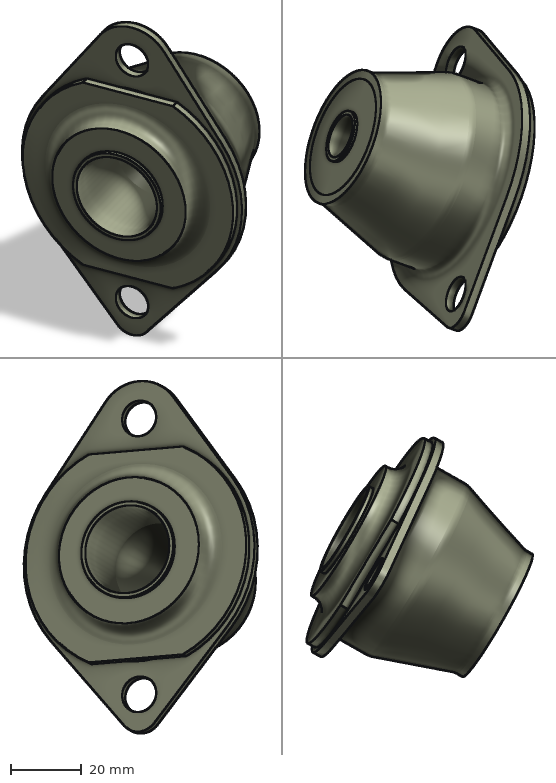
import cadquery as cq
import math


rubber_front_y = 1.3
lip_front_y = 6.9
flange_back_y = 12.1
shoulder_y = 23.0
neck_y = 48.1
cup_back_y = 50.0
sleeve_back_y = 50.8

sheet = 2.6
wall_radius = 55.8 / 2
neck_radius = 40.0 / 2
shoulder_bend = 6.6
neck_bend = 4.1
flange_bend = 2.5
flange_front_y = flange_back_y - sheet
flange_height = 101.7
flange_radius = 69.8 / 2
top_ear_radius = 12.5
bottom_ear_radius = 6.0
bolt_spacing = 80.1
bolt_hole = 10.3

lip_diameter = 66.7
lip_across_flats = 60.3
nose_radius = 42.3 / 2
nose_cove = 5.0

sleeve_front_diameter = 27.8
sleeve_back_diameter = 15.1
bore_front_diameter = 25.4
bore_back_diameter = 12.7
straight_front = 24.4
straight_back = 6.1


def on_y(y):
    """Workplane facing -Y at the given height, with local x = X and local y = Z."""
    return cq.Workplane("XZ", origin=(0, y, 0))


def revolve_about_y(profile):
    return profile.revolve(360, (0, 0, 0), (0, 1, 0))


def cylinder(diameter, front_y, back_y):
    return on_y(front_y).circle(diameter / 2).extrude(front_y - back_y)


def cup_form(inset):
    """Solid bounded by the cup's outside surface, moved inwards by inset."""
    shoulder_x = wall_radius - shoulder_bend
    neck_x = neck_radius + neck_bend
    across = neck_x - shoulder_x
    along = neck_y - shoulder_y
    taper = math.asin((shoulder_bend + neck_bend) / math.hypot(across, along)) - math.atan2(across, along)
    inner_shoulder = shoulder_bend - inset
    inner_neck = neck_bend + inset
    flange_x = wall_radius + flange_bend
    flange_bend_y = flange_back_y + flange_bend
    start_y = flange_back_y - inset
    diagonal = (flange_bend + inset) * math.sqrt(0.5)
    middle = taper / 2
    profile = (
        cq.Workplane("XY")
        .moveTo(0, start_y)
        .lineTo(flange_x, start_y)
        .threePointArc(
            (flange_x - diagonal, flange_bend_y - diagonal),
            (wall_radius - inset, flange_bend_y),
        )
        .lineTo(wall_radius - inset, shoulder_y)
        .threePointArc(
            (shoulder_x + inner_shoulder * math.cos(middle), shoulder_y + inner_shoulder * math.sin(middle)),
            (shoulder_x + inner_shoulder * math.cos(taper), shoulder_y + inner_shoulder * math.sin(taper)),
        )
        .lineTo(neck_x - inner_neck * math.cos(taper), neck_y - inner_neck * math.sin(taper))
        .threePointArc(
            (neck_x - inner_neck * math.cos(middle), neck_y - inner_neck * math.sin(middle)),
            (neck_radius - inset, neck_y),
        )
        .lineTo(neck_radius - inset, cup_back_y)
        .lineTo(0, cup_back_y)
        .close()
    )
    return revolve_about_y(profile)


def ear_tangents(ear_radius):
    """The +X tangent points on the flange round and on an upward-pointing ear."""
    centre = flange_height / 2 - ear_radius
    sine = (flange_radius - ear_radius) / centre
    cosine = math.sqrt(1 - sine ** 2)
    on_flange = (flange_radius * cosine, flange_radius * sine)
    on_ear = (ear_radius * cosine, centre + ear_radius * sine)
    return on_flange, on_ear


def make_flange():
    (top_x, top_z), (top_ear_x, top_ear_z) = ear_tangents(top_ear_radius)
    (low_x, low_z), (low_ear_x, low_ear_z) = ear_tangents(bottom_ear_radius)
    tip = flange_height / 2
    return (
        on_y(flange_front_y)
        .moveTo(top_x, top_z)
        .lineTo(top_ear_x, top_ear_z)
        .threePointArc((0, tip), (-top_ear_x, top_ear_z))
        .lineTo(-top_x, top_z)
        .threePointArc((-flange_radius, 0), (-low_x, -low_z))
        .lineTo(-low_ear_x, -low_ear_z)
        .threePointArc((0, -tip), (low_ear_x, -low_ear_z))
        .lineTo(low_x, -low_z)
        .threePointArc((flange_radius, 0), (top_x, top_z))
        .close()
        .extrude(-sheet)
    )


def make_housing():
    bolt_holes = (
        on_y(flange_front_y)
        .pushPoints([(0, bolt_spacing / 2), (0, -bolt_spacing / 2)])
        .circle(bolt_hole / 2)
        .extrude(-sheet)
    )
    return make_flange().cut(bolt_holes).union(cup_form(0)).cut(cup_form(sheet))


def tapered_form(front_diameter, back_diameter):
    """Solid with a straight front, a conical middle and a straight back."""
    front = front_diameter / 2
    back = back_diameter / 2
    profile = cq.Workplane("XY").polyline([
        (0, 0),
        (front, 0),
        (front, straight_front),
        (back, sleeve_back_y - straight_back),
        (back, sleeve_back_y),
        (0, sleeve_back_y),
    ]).close()
    return revolve_about_y(profile)


def make_sleeve():
    outside = tapered_form(sleeve_front_diameter, sleeve_back_diameter)
    return outside.cut(tapered_form(bore_front_diameter, bore_back_diameter))


def make_rubber():
    lip_depth = flange_front_y - lip_front_y
    flats = on_y(lip_front_y).rect(lip_diameter, lip_across_flats).extrude(-lip_depth)
    lip = cylinder(lip_diameter, lip_front_y, flange_front_y).intersect(flats)
    cove_x = nose_radius + nose_cove
    cove_y = lip_front_y - nose_cove
    diagonal = nose_cove * math.sqrt(0.5)
    nose = revolve_about_y(
        cq.Workplane("XY")
        .moveTo(0, rubber_front_y)
        .lineTo(nose_radius, rubber_front_y)
        .lineTo(nose_radius, cove_y)
        .threePointArc((cove_x - diagonal, cove_y + diagonal), (cove_x, lip_front_y))
        .lineTo(0, lip_front_y)
        .close()
    )
    sleeve_space = tapered_form(sleeve_front_diameter, sleeve_back_diameter)
    return cup_form(sheet).union(lip).union(nose).cut(sleeve_space)


housing = make_housing()
rubber = make_rubber()
sleeve = make_sleeve()

result = cq.Compound.makeCompound([housing.val(), rubber.val(), sleeve.val()])